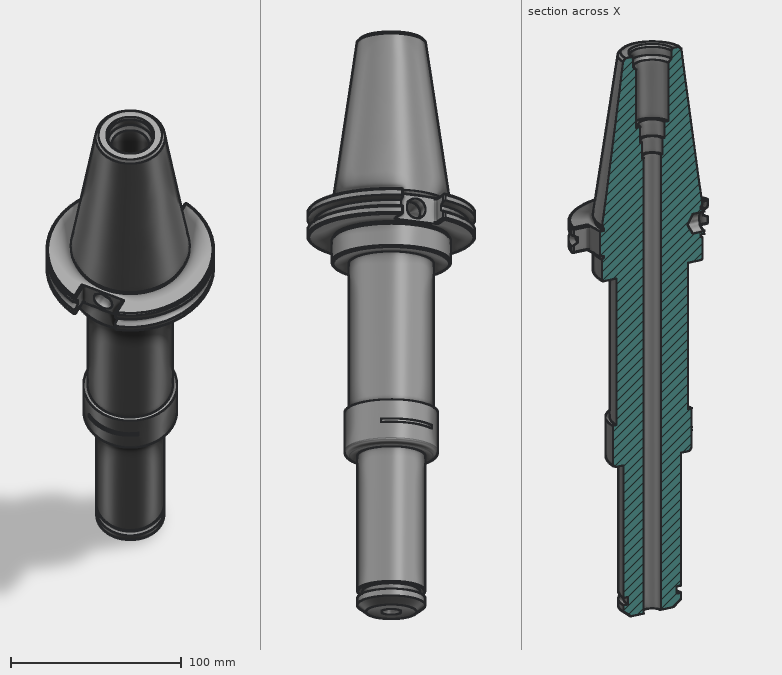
import cadquery as cq
import math


gauge_dia = 69.85
taper_length = 101.6
taper_ratio = 7 / 24
taper_top_chamfer_width = 1.5
taper_top_chamfer_height = 1.8
gauge_cone_height = 2.0

flange_dia = 98.425
flange_top = -3.175
flange_thickness = 15.875
flange_chamfer = 1.0
groove_floor_dia = 90.5
groove_floor_width = 3.0
groove_half_angle = 28.0
neck_dia = 67.5

slot_width = 25.7
slot_floor_distance = 36.2
slot_chamfer = 1.0
slot_corner_radius = 1.0
blind_hole_dia = 12.0
blind_hole_depth = 8.0
drill_point_angle = 118.0

collar_dia = 70.0
collar_gap = 1.0
collar_bottom = -35.0
collar_chamfer = 1.0
shaft_dia = 50.0
ring_dia = 55.0
ring_top = -126.2
ring_length = 26.5
ring_fillet = 3.0
mark_depth = 0.2
mark_height = 2.0
mark_chord = 32.5
mark_drop = 12.7

total_length = 349.6
spindle_dia = 40.0
end_groove_dia = 34.0
end_groove_top_offset = 12.4
end_groove_width = 4.2
end_groove_chamfer = 0.5
end_face_dia = 29.6
end_chamfer_height = 4.0

mouth_dia = 28.0
mouth_chamfer_height = 1.5
counterbore_dia = 26.4
counterbore_depth = 6.5
seat_cone_height = 2.2
thread_bore_dia = 21.96
thread_bore_depth = 45.0
upper_step_dia = 16.5
lower_step_dia = 14.0
step_length = 10.0
through_bore_dia = 11.7

taper_top_dia = gauge_dia - taper_length * taper_ratio
flange_bottom = flange_top - flange_thickness
flange_middle = flange_top - flange_thickness / 2
ring_bottom = ring_top - ring_length
end_face = taper_length - total_length
end_groove_top = end_face + end_groove_top_offset
end_groove_bottom = end_groove_top - end_groove_width


def revolve_profile(points):
    """Revolve (diameter, height) points, closed along the axis, about Z."""
    outline = [(0, points[0][1])]
    outline += [(diameter / 2, height) for diameter, height in points]
    outline.append((0, points[-1][1]))
    return cq.Workplane("XZ").polyline(outline).close().revolve(360, (0, 0, 0), (0, 1, 0))


def make_taper():
    chamfer_start = taper_length - taper_top_chamfer_height
    chamfer_start_dia = gauge_dia - chamfer_start * taper_ratio
    return revolve_profile([
        (taper_top_dia - 2 * taper_top_chamfer_width, taper_length),
        (chamfer_start_dia, chamfer_start),
        (gauge_dia, 0),
        (neck_dia, -gauge_cone_height),
        (neck_dia, flange_top),
    ])


def make_flange():
    groove_depth = (flange_dia - groove_floor_dia) / 2
    half_floor = groove_floor_width / 2
    half_mouth = half_floor + groove_depth * math.tan(math.radians(groove_half_angle))
    chamfered_dia = flange_dia - 2 * flange_chamfer
    return revolve_profile([
        (chamfered_dia, flange_top),
        (flange_dia, flange_top - flange_chamfer),
        (flange_dia, flange_middle + half_mouth),
        (groove_floor_dia, flange_middle + half_floor),
        (groove_floor_dia, flange_middle - half_floor),
        (flange_dia, flange_middle - half_mouth),
        (flange_dia, flange_bottom + flange_chamfer),
        (chamfered_dia, flange_bottom),
    ])


def make_slot_cutter():
    """Prism for the -Y drive slot: rounded floor corners, flared top, bottom and outer edges."""
    slot_depth = flange_dia / 2 - slot_floor_distance
    half_width = slot_width / 2
    flared_half_width = half_width + slot_chamfer
    outer_y = -flange_dia / 2
    cutter = (
        cq.Workplane("XY", origin=(0, 0, flange_bottom))
        .center(0, outer_y)
        .rect(slot_width, 2 * slot_depth)
        .extrude(flange_thickness)
        .edges("|Z and >Y")
        .fillet(slot_corner_radius)
    )
    for face_height, inward in ((flange_top, -1), (flange_bottom, 1)):
        edge_flare = (
            cq.Workplane("XZ", origin=(0, -slot_floor_distance, 0))
            .polyline([
                (-flared_half_width, face_height),
                (flared_half_width, face_height),
                (half_width, face_height + inward * slot_chamfer),
                (-half_width, face_height + inward * slot_chamfer),
            ])
            .close()
            .extrude(slot_depth)
        )
        cutter = cutter.union(edge_flare)
    outer_corner_y = -math.sqrt((flange_dia / 2) ** 2 - flared_half_width ** 2)
    outer_flare = (
        cq.Workplane("XY", origin=(0, 0, flange_bottom))
        .polyline([
            (-half_width, outer_corner_y + slot_chamfer),
            (half_width, outer_corner_y + slot_chamfer),
            (flared_half_width, outer_corner_y),
            (flared_half_width, outer_y),
            (-flared_half_width, outer_y),
            (-flared_half_width, outer_corner_y),
        ])
        .close()
        .extrude(flange_thickness)
    )
    return cutter.union(outer_flare)


def make_blind_hole_cutter():
    """Drilled hole along +Y from the floor of the -Y drive slot."""
    radius = blind_hole_dia / 2
    point_length = radius / math.tan(math.radians(drill_point_angle / 2))
    floor_y = -slot_floor_distance
    return (
        cq.Workplane("XY", origin=(0, 0, flange_middle))
        .polyline([
            (0, floor_y),
            (radius, floor_y),
            (radius, floor_y + blind_hole_depth),
            (0, floor_y + blind_hole_depth + point_length),
        ])
        .close()
        .revolve(360, (0, 0, 0), (0, 1, 0))
    )


def make_body():
    """Neck, collar and shaft between the flange and the ring."""
    collar_top = flange_bottom - collar_gap
    chamfered_dia = collar_dia - 2 * collar_chamfer
    return revolve_profile([
        (neck_dia, flange_bottom),
        (neck_dia, collar_top),
        (collar_dia, collar_top - collar_chamfer),
        (collar_dia, collar_bottom + collar_chamfer),
        (chamfered_dia, collar_bottom),
        (shaft_dia, collar_bottom),
        (shaft_dia, ring_top),
    ])


def make_ring():
    """Ring with a rounded lower edge and a shallow marking groove on its -Y side."""
    ring = (
        cq.Workplane("XY", origin=(0, 0, ring_bottom))
        .circle(ring_dia / 2)
        .extrude(ring_length)
        .faces("<Z")
        .edges()
        .fillet(ring_fillet)
    )
    mark_floor_radius = ring_dia / 2 - mark_depth
    mark_plane = cq.Workplane("XY", origin=(0, 0, ring_top - mark_drop - mark_height / 2))
    annulus = mark_plane.circle(ring_dia / 2).circle(mark_floor_radius).extrude(mark_height)
    front_sector = mark_plane.center(0, -ring_dia / 2).rect(mark_chord, ring_dia).extrude(mark_height)
    return ring.cut(annulus.intersect(front_sector))


def make_spindle():
    return revolve_profile([
        (spindle_dia, ring_bottom),
        (spindle_dia, end_groove_top + end_groove_chamfer),
        (spindle_dia - 2 * end_groove_chamfer, end_groove_top),
        (end_groove_dia, end_groove_top),
        (end_groove_dia, end_groove_bottom),
        (spindle_dia, end_groove_bottom),
        (spindle_dia, end_face + end_chamfer_height),
        (end_face_dia, end_face),
    ])


def make_bore_cutter():
    counterbore_floor = taper_length - counterbore_depth
    thread_floor = taper_length - thread_bore_depth
    upper_step_floor = thread_floor - step_length
    lower_step_floor = upper_step_floor - step_length
    return revolve_profile([
        (mouth_dia, taper_length),
        (counterbore_dia, taper_length - mouth_chamfer_height),
        (counterbore_dia, counterbore_floor),
        (thread_bore_dia, counterbore_floor - seat_cone_height),
        (thread_bore_dia, thread_floor),
        (upper_step_dia, thread_floor),
        (upper_step_dia, upper_step_floor),
        (lower_step_dia, upper_step_floor),
        (lower_step_dia, lower_step_floor),
        (through_bore_dia, lower_step_floor),
        (through_bore_dia, end_face),
    ])


slot_cutter = make_slot_cutter()
flange = make_flange().cut(slot_cutter).cut(slot_cutter.mirror("XZ"))

result = make_taper().union(flange)
for section in (make_body(), make_ring(), make_spindle()):
    result = result.union(section)
result = result.cut(make_blind_hole_cutter()).cut(make_bore_cutter())